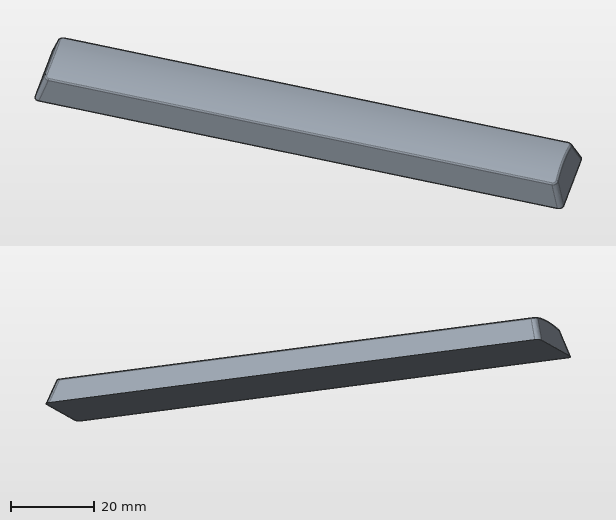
import cadquery as cq
import math

length = 132.3
width = 18.1
height = 7.1

wall_lean = 17.5
corner_radius = 1.3
top_edge_radius = 0.5
crown_drop = 1.6


def sloped_body():
    """Tapered block with one fillet radius along each leaning corner."""
    inset = height * math.tan(math.radians(wall_lean))
    return (
        cq.Workplane("XY")
        .rect(length, width)
        .workplane(offset=height)
        .rect(length - 2 * inset, width - 2 * inset)
        .loft(ruled=True)
        .edges("not(#Z or |X or |Y)")
        .fillet(corner_radius)
    )


def crown_envelope():
    """Prism along X whose upper face is the arched top of the part."""
    half_width = width / 2
    edge_height = height - crown_drop
    return (
        cq.Workplane("YZ")
        .moveTo(-half_width, 0)
        .lineTo(half_width, 0)
        .lineTo(half_width, edge_height)
        .threePointArc((0, height), (-half_width, edge_height))
        .close()
        .extrude(length / 2, both=True)
    )


crowned_body = sloped_body().intersect(crown_envelope())
result = crowned_body.faces(">Z").edges().fillet(top_edge_radius)